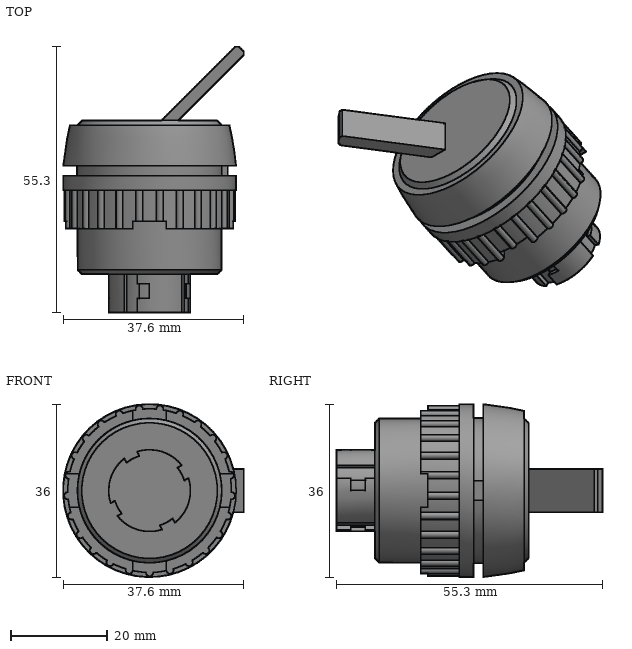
import cadquery as cq


STEM_END = 0.0
BODY_FRONT = 8.0
RING_FRONT = 17.5
RING_NOTCH_FLOOR = 19.0
FLANGE_FRONT = 25.5
FLANGE_BACK = 28.5
BEZEL_FRONT = 30.5
BEZEL_BACK = 39.0
CAP_BACK = 40.0

STEM_RADIUS = 8.5
BODY_RADIUS = 15.0
BODY_CHAMFER = 0.9
GROOVE_RADIUS = 15.15
FLANGE_RADIUS = 18.0
BEZEL_BACK_RADIUS = 16.6
BEZEL_BULGE = 0.15
CAP_RADIUS = 15.0
CAP_CHAMFER = 1.0

RING_RADIUS = 17.0
RIB_COUNT = 25
RIB_RADIUS = 0.75
RIB_CENTER_RADIUS = 17.05
FIRST_RIB_ANGLE = -90.0
NOTCH_COUNT = 4
NOTCH_WIDTH = 7.0

BAYONET_COUNT = 4
BAYONET_ANGLE = 28.0
BAYONET_FLOOR_RADIUS = 7.5
BAYONET_WIDTH = 3.0
POCKET_START = 3.0
POCKET_LENGTH = 3.0
POCKET_REACH = 3.9
POCKET_FLOOR_RADIUS = 7.6

TAB_REACH = 16.3
TAB_WIDTH = 4.0

KEY_THICKNESS = 2.5
KEY_WIDTH = 9.0
KEY_CHAMFER = 0.5
KEY_ANGLE = 45.0
KEY_ROOT_Y = 35.72
KEY_LENGTH = 26.98


def section_plane(level):
    """Plane across the axis; a negative extrusion runs toward +Y."""
    return cq.Workplane("XZ", origin=(0, level, 0))


def cylinder(radius, start, end):
    """Round section about the Y axis between two levels."""
    return section_plane(start).circle(radius).extrude(start - end)


def turned_about_axis(shape, angle):
    """Shape turned from +X toward +Z by an angle in degrees."""
    return shape.rotate((0, 0, 0), (0, 1, 0), -angle)


def make_body():
    """Front barrel with a chamfered front rim."""
    barrel = cylinder(BODY_RADIUS, BODY_FRONT, FLANGE_FRONT)
    return barrel.faces("<Y").chamfer(BODY_CHAMFER)


def make_ring():
    """Ring with half-round grip ribs and four notches in its front edge."""
    ring = cylinder(RING_RADIUS, RING_FRONT, FLANGE_FRONT)
    for index in range(RIB_COUNT):
        angle = FIRST_RIB_ANGLE + index * 360.0 / RIB_COUNT
        rib = (
            section_plane(RING_FRONT)
            .center(RIB_CENTER_RADIUS, 0)
            .circle(RIB_RADIUS)
            .extrude(RING_FRONT - FLANGE_FRONT)
        )
        ring = ring.union(turned_about_axis(rib, angle))

    notch_depth = RING_NOTCH_FLOOR - RING_FRONT
    for index in range(NOTCH_COUNT):
        notch = cq.Workplane("XY").box(
            FLANGE_RADIUS, notch_depth, NOTCH_WIDTH, centered=(False, False, True)
        )
        notch = notch.translate((0, RING_FRONT, 0))
        ring = ring.cut(turned_about_axis(notch, index * 360.0 / NOTCH_COUNT))
    return ring


def make_bezel():
    """Rear bezel whose side narrows toward the back along a shallow arc."""
    arc_middle = (
        (FLANGE_RADIUS + BEZEL_BACK_RADIUS) / 2 + BEZEL_BULGE,
        (BEZEL_FRONT + BEZEL_BACK) / 2,
    )
    return (
        cq.Workplane("XY")
        .moveTo(0, BEZEL_FRONT)
        .lineTo(FLANGE_RADIUS, BEZEL_FRONT)
        .threePointArc(arc_middle, (BEZEL_BACK_RADIUS, BEZEL_BACK))
        .lineTo(0, BEZEL_BACK)
        .close()
        .revolve(360, (0, 0, 0), (0, 1, 0))
    )


def make_cap():
    """Disc on the back of the bezel, tapering over its whole height."""
    return (
        cq.Workplane("XY")
        .moveTo(0, BEZEL_BACK)
        .lineTo(CAP_RADIUS, BEZEL_BACK)
        .lineTo(CAP_RADIUS - CAP_CHAMFER, CAP_BACK)
        .lineTo(0, CAP_BACK)
        .close()
        .revolve(360, (0, 0, 0), (0, 1, 0))
    )


def make_tab():
    """Block filling the groove locally between flange and bezel."""
    tab = cq.Workplane("XY").box(
        TAB_REACH, BEZEL_FRONT - FLANGE_BACK, TAB_WIDTH, centered=(False, False, True)
    )
    return tab.translate((0, FLANGE_BACK, 0))


def make_stem():
    """Coupling stem with four L-shaped bayonet slots."""
    stem = cylinder(STEM_RADIUS, STEM_END, BODY_FRONT)
    channel_core = cylinder(BAYONET_FLOOR_RADIUS, STEM_END, BODY_FRONT)
    pocket_core = cylinder(POCKET_FLOOR_RADIUS, STEM_END, BODY_FRONT)
    channel = cq.Workplane("XY").box(
        FLANGE_RADIUS, BODY_FRONT - STEM_END, BAYONET_WIDTH, centered=(False, False, True)
    )

    pocket = cq.Workplane("XY").box(
        FLANGE_RADIUS, POCKET_LENGTH, POCKET_REACH, centered=False
    )
    pocket = pocket.translate((0, POCKET_START, -POCKET_REACH))
    pocket = pocket.cut(pocket_core)
    channel = channel.cut(channel_core)
    slot = channel.union(pocket)
    for index in range(BAYONET_COUNT):
        angle = BAYONET_ANGLE + index * 360.0 / BAYONET_COUNT
        stem = stem.cut(turned_about_axis(slot, angle))
    return stem


def make_key():
    """Flat key leaving the cap at an angle, with a chamfered tip."""
    blade = cq.Workplane("XY").box(
        KEY_LENGTH, KEY_THICKNESS, KEY_WIDTH, centered=(False, True, True)
    )
    blade = blade.faces(">X").edges("|Z").chamfer(KEY_CHAMFER)
    blade = blade.rotate((0, 0, 0), (0, 0, 1), KEY_ANGLE)
    return blade.translate((0, KEY_ROOT_Y, 0))


flange = cylinder(FLANGE_RADIUS, FLANGE_FRONT, FLANGE_BACK)
groove_core = cylinder(GROOVE_RADIUS, FLANGE_BACK, BEZEL_FRONT)

result = (
    make_stem()
    .union(make_body())
    .union(make_ring())
    .union(flange)
    .union(groove_core)
    .union(make_tab())
    .union(make_bezel())
    .union(make_cap())
    .union(make_key())
)